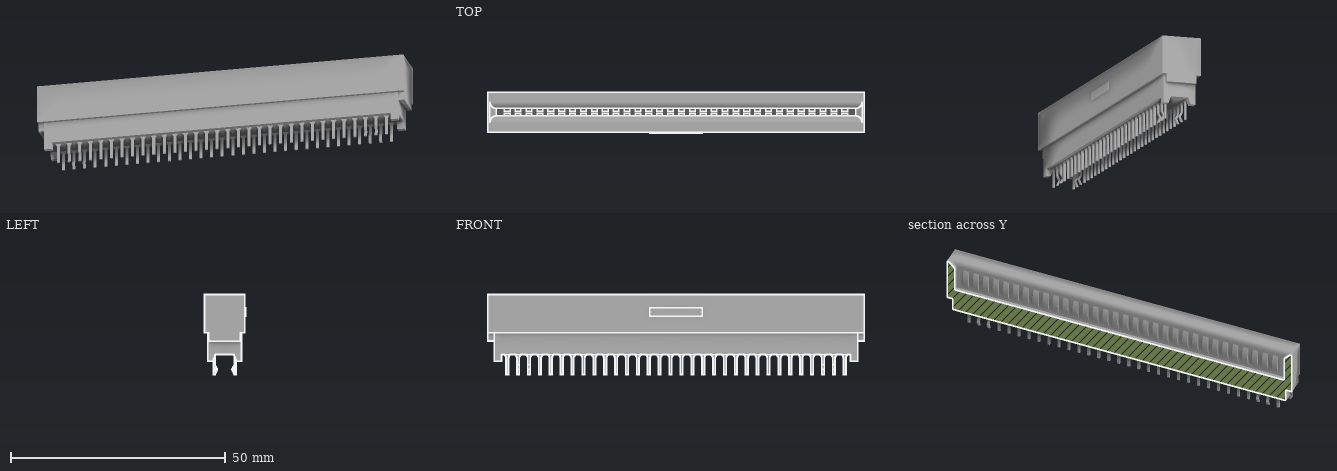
import cadquery as cq


length = 87.9
upper_depth = 9.4
lower_depth = 7.9
top_z = 15.6
shoulder_z = 6.7
underside_z = 1.6
end_step = 1.5
lower_length = length - 2 * end_step

ledge_depth = 7.3
ledge_bottom_z = 4.75

foot_length = 1.8
channel_top_width = 4.3
channel_bottom_width = 5.45

slot_width = 1.8
slot_depth = 7.9
mouth_radius = 1.5
mouth_end_margin = 0.5
mouth_length = length - 2 * mouth_end_margin
slot_length = mouth_length - 2 * mouth_radius
slot_floor_z = top_z - slot_depth
slot_top_z = top_z - mouth_radius

pin_count = 32
pitch = 2.54
row_spacing = 4.9
pin_tip_z = -3.1
pin_width = 0.6
pin_thickness = 0.4
pin_shoulder_width = 1.3
pin_shoulder_height = 0.6
kink_offset = 0.5
kink_start_z = -0.8
kink_peak_z = -1.85
kinked_positions = (1, 2, pin_count - 3, pin_count - 2)

contact_width = 1.3
contact_bulge = 0.6
contact_root = 0.3
contact_end_gap = 0.7
contact_top_z = slot_top_z - contact_end_gap
contact_bottom_z = slot_floor_z + contact_end_gap

plate_length = 12.3
plate_height = 2.0
plate_thickness = 0.2
plate_center_depth = 4.1
plate_center_z = top_z - plate_center_depth


def block(x_size, y_size, bottom_z, block_top_z):
    """Box centred on X and Y between two heights."""
    height = block_top_z - bottom_z
    return (
        cq.Workplane("XY")
        .workplane(offset=bottom_z)
        .rect(x_size, y_size)
        .extrude(height)
    )


def make_housing():
    upper = block(length, upper_depth, shoulder_z, top_z)
    lower = block(lower_length, lower_depth, 0, shoulder_z)
    ledges = block(length, ledge_depth, ledge_bottom_z, shoulder_z)
    foot_gap = block(lower_length - 2 * foot_length, lower_depth, 0, underside_z)
    channel = (
        cq.Workplane("YZ")
        .polyline([
            (-channel_bottom_width / 2, 0),
            (channel_bottom_width / 2, 0),
            (channel_top_width / 2, underside_z),
            (-channel_top_width / 2, underside_z),
        ])
        .close()
        .extrude(lower_length / 2, both=True)
    )
    return upper.union(lower).union(ledges).cut(foot_gap).cut(channel)


def make_slot():
    """Slot volume: rounded lead-ins along the sides, 45 degree slopes at the ends."""
    half_width = slot_width / 2
    half_mouth = half_width + mouth_radius
    arc_inset = mouth_radius * (1 - 0.5 ** 0.5)
    cross_section = (
        cq.Workplane("YZ")
        .moveTo(-half_width, slot_floor_z)
        .lineTo(half_width, slot_floor_z)
        .lineTo(half_width, slot_top_z)
        .threePointArc((half_width + arc_inset, top_z - arc_inset), (half_mouth, top_z))
        .lineTo(-half_mouth, top_z)
        .threePointArc((-half_width - arc_inset, top_z - arc_inset), (-half_width, slot_top_z))
        .close()
        .extrude(mouth_length / 2, both=True)
    )
    long_section = (
        cq.Workplane("XZ")
        .polyline([
            (-slot_length / 2, slot_floor_z),
            (slot_length / 2, slot_floor_z),
            (slot_length / 2, slot_top_z),
            (mouth_length / 2, top_z),
            (-mouth_length / 2, top_z),
            (-slot_length / 2, slot_top_z),
        ])
        .close()
        .extrude(half_mouth, both=True)
    )
    return cross_section.intersect(long_section)


def make_contact():
    """Spring contact bulging from the +Y slot wall towards the card."""
    wall_y = slot_width / 2
    middle_z = (contact_top_z + contact_bottom_z) / 2
    return (
        cq.Workplane("YZ")
        .moveTo(wall_y + contact_root, contact_bottom_z)
        .lineTo(wall_y, contact_bottom_z)
        .threePointArc((wall_y - contact_bulge, middle_z), (wall_y, contact_top_z))
        .lineTo(wall_y + contact_root, contact_top_z)
        .close()
        .extrude(contact_width / 2, both=True)
    )


def make_pin(kinked):
    """Pin of the +Y row: tapered shoulder and a straight or inward-kinked shank."""
    inner_y = (row_spacing - pin_thickness) / 2
    outer_y = inner_y + pin_thickness
    shoulder_bottom_z = underside_z - pin_shoulder_height
    shoulder = (
        cq.Workplane("XZ", origin=(0, row_spacing / 2, 0))
        .polyline([
            (-pin_shoulder_width / 2, underside_z),
            (pin_shoulder_width / 2, underside_z),
            (pin_width / 2, shoulder_bottom_z),
            (-pin_width / 2, shoulder_bottom_z),
        ])
        .close()
        .extrude(pin_thickness / 2, both=True)
    )
    inner_side = [(inner_y, underside_z), (inner_y, pin_tip_z)]
    outer_side = [(outer_y, pin_tip_z), (outer_y, underside_z)]
    if kinked:
        inner_side[1:1] = [(inner_y, kink_start_z), (inner_y - kink_offset, kink_peak_z)]
        outer_side[1:1] = [(outer_y - kink_offset, kink_peak_z), (outer_y, kink_start_z)]
    shank = (
        cq.Workplane("YZ")
        .polyline(inner_side + outer_side)
        .close()
        .extrude(pin_width / 2, both=True)
    )
    return shoulder.union(shank)


def make_terminals():
    """All contacts and pins, in two mirrored rows."""
    contact = make_contact().val()
    straight_pin = make_pin(False).val()
    kinked_pin = make_pin(True).val()
    solids = []
    for position in range(pin_count):
        x = (position - (pin_count - 1) / 2) * pitch
        pin = kinked_pin if position in kinked_positions else straight_pin
        for solid in (contact, pin):
            placed = solid.translate(cq.Vector(x, 0, 0))
            solids += [placed, placed.mirror("XZ")]
    return solids


def make_nameplate():
    return cq.Workplane("XY").box(plate_length, plate_thickness, plate_height).translate(
        (0, -(upper_depth + plate_thickness) / 2, plate_center_z)
    )


housing = make_housing().cut(make_slot()).union(make_nameplate())
result = cq.Workplane(obj=housing.val().fuse(*make_terminals()))